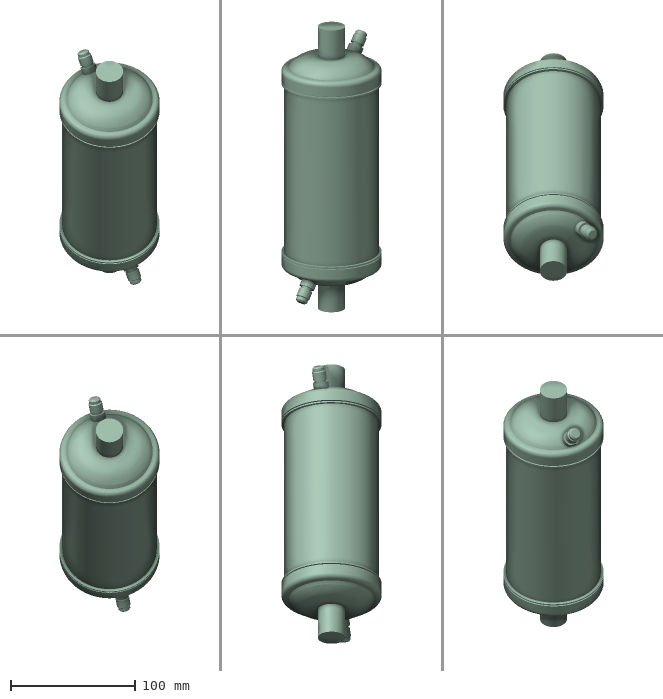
import cadquery as cq
import math

half_length = 120.0
shell_radius = 38.2
cap_diameter = 81.0
cap_radius = cap_diameter / 2
pipe_radius = 11.0

bead_bottom = 71.5
bead_height = 1.2
groove_height = 1.0

skirt_top = 81.5
shoulder_radius = 3.8
shoulder_end_radius = 37.7
cone_end_radius = 34.8
cone_top = 85.7
crown_edge_radius = 32.6
crown_edge_height = 88.0
crown_flat_radius = 15.0
crown_top = 95.0

valve_angle = 53.0
valve_base_x = 29.8
valve_base_z = 90.0
valve_root_depth = 3.5
collar_length = 5.0
collar_radius = 6.2
collar_flats = 11.3
neck_radius = 4.5
neck_length = 2.2
nut_radius = 5.5
nut_length = 7.2
nut_chamfer_length = 1.0
stud_radius = 4.8
stud_length = 3.5
stud_chamfer = 1.2


def capped_end():
    """Upper half of the revolved body, from the mid-plane to the pipe end."""
    groove_bottom = bead_bottom + bead_height
    groove_top = groove_bottom + groove_height

    shoulder_center = cap_radius - shoulder_radius
    shoulder_sweep = math.acos((shoulder_end_radius - shoulder_center) / shoulder_radius)

    def shoulder_point(angle):
        return (
            shoulder_center + shoulder_radius * math.cos(angle),
            skirt_top + shoulder_radius * math.sin(angle),
        )

    crown_run = crown_edge_radius - crown_flat_radius
    crown_rise = crown_top - crown_edge_height
    crown_arc_radius = (crown_run**2 + crown_rise**2) / (2 * crown_rise)
    crown_mid_angle = math.asin(crown_run / crown_arc_radius) / 2
    crown_mid = (
        crown_flat_radius + crown_arc_radius * math.sin(crown_mid_angle),
        crown_top - crown_arc_radius * (1 - math.cos(crown_mid_angle)),
    )

    return (
        cq.Workplane("XZ")
        .moveTo(0, 0)
        .lineTo(shell_radius, 0)
        .lineTo(shell_radius, bead_bottom)
        .lineTo(cap_radius, bead_bottom)
        .lineTo(cap_radius, groove_bottom)
        .lineTo(shell_radius, groove_bottom)
        .lineTo(shell_radius, groove_top)
        .lineTo(cap_radius, groove_top)
        .lineTo(cap_radius, skirt_top)
        .threePointArc(shoulder_point(shoulder_sweep / 2), shoulder_point(shoulder_sweep))
        .lineTo(cone_end_radius, cone_top)
        .lineTo(crown_edge_radius, crown_edge_height)
        .threePointArc(crown_mid, (crown_flat_radius, crown_top))
        .lineTo(pipe_radius, crown_top)
        .lineTo(pipe_radius, half_length)
        .lineTo(0, half_length)
        .close()
        .revolve(360, (0, 0), (0, 1))
    )


def service_valve():
    """Collar with two flats, neck, chamfered nut and chamfered stud on the upper -X side."""
    tilt = math.radians(valve_angle)
    seat = cq.Plane(
        origin=(-valve_base_x, 0, valve_base_z),
        xDir=(0, 1, 0),
        normal=(-math.cos(tilt), 0, math.sin(tilt)),
    )
    collar_height = valve_root_depth + collar_length
    root = cq.Workplane(seat).workplane(offset=-valve_root_depth)
    flats = root.rect(2 * collar_radius, collar_flats).extrude(collar_height)
    collar = root.circle(collar_radius).extrude(collar_height).intersect(flats)
    neck_end = collar_length + neck_length
    neck = cq.Workplane(seat).circle(neck_radius).extrude(neck_end)
    nut_end = neck_end + nut_length
    nut = (
        cq.Workplane(seat)
        .workplane(offset=neck_end)
        .circle(nut_radius)
        .extrude(nut_length)
        .faces("<X")
        .edges()
        .chamfer(nut_radius - stud_radius, nut_chamfer_length)
    )
    stud = (
        cq.Workplane(seat)
        .workplane(offset=nut_end)
        .circle(stud_radius)
        .extrude(stud_length)
        .faces("<X")
        .edges()
        .chamfer(stud_chamfer)
    )
    return collar.union(neck).union(nut).union(stud)


upper_half = capped_end().union(service_valve())
lower_half = upper_half.rotate((0, 0, 0), (0, 1, 0), 180)
result = upper_half.union(lower_half)